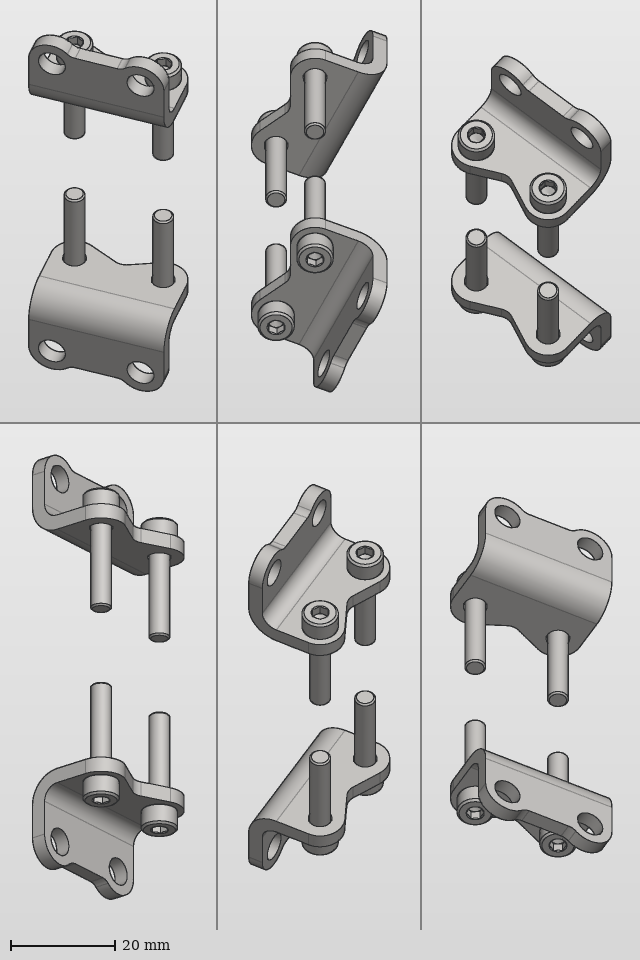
import cadquery as cq
import math

overall_height = 85.5
top_z = overall_height / 2

bracket_width = 27.5
level_length = 17.8
upright_length = 17.7
plate_thickness = 3.0
inner_bend_radius = 3.1
outer_bend_radius = inner_bend_radius + plate_thickness
bracket_base_z = top_z - upright_length

hole_spacing = 18.0
lobe_x = hole_spacing / 2
lobe_radius = (bracket_width - hole_spacing) / 2
level_lobe_offset = level_length - lobe_radius
upright_lobe_offset = upright_length - lobe_radius
mount_hole_diameter = 5.5
bolt_hole_diameter = 4.5

flat_notch_depth = 1.8
flat_notch_radius = 2.4

vee_slope = math.radians(25)
vee_radius = 3.0

shank_diameter = 4.0
shank_length = 20.0
tip_chamfer = 0.3
head_diameter = 7.0
head_height = 4.0
head_chamfer = 0.4
head_base_chamfer = 0.2
socket_width = 3.0
socket_depth = 2.0
socket_corner_diameter = socket_width / math.cos(math.radians(30))
socket_cone_depth = socket_width / 2 * math.tan(math.radians(30))
bolt_seat_z = bracket_base_z + plate_thickness


def polar(center, radius, angle):
    """Point on a circle, with the angle in radians from the first axis."""
    return (center[0] + radius * math.cos(angle), center[1] + radius * math.sin(angle))


def half_lobe_outline(plane, lobe_center, tangent_angle):
    """Right half of a leg outline, from the bend corner round the lobe to the given angle."""
    return (
        plane.moveTo(0, 0)
        .lineTo(bracket_width / 2, 0)
        .lineTo(bracket_width / 2, lobe_center[1])
        .threePointArc(
            polar(lobe_center, lobe_radius, tangent_angle / 2),
            polar(lobe_center, lobe_radius, tangent_angle),
        )
    )


def upright_outline():
    """Prism along Y with the outline of the upright leg: lobes blending into a flat notch."""
    lobe_center = (lobe_x, upright_lobe_offset)
    notch_floor = upright_length - flat_notch_depth
    radius_sum = lobe_radius + flat_notch_radius
    blend_angle = math.acos((notch_floor + flat_notch_radius - upright_lobe_offset) / radius_sum)
    tangent_angle = math.pi / 2 + blend_angle
    blend_center = polar(lobe_center, radius_sum, tangent_angle)
    blend_middle = polar(blend_center, flat_notch_radius, (blend_angle - math.pi) / 2)
    plane = cq.Workplane("XZ", origin=(0, 0, bracket_base_z))
    return (
        half_lobe_outline(plane, lobe_center, tangent_angle)
        .threePointArc(blend_middle, (blend_center[0], notch_floor))
        .lineTo(0, notch_floor)
        .mirrorY()
        .extrude(-level_length)
    )


def level_outline():
    """Prism along Z with the outline of the level leg: lobes with tangents meeting in a rounded V."""
    lobe_center = (lobe_x, level_lobe_offset)
    tangent_angle = math.pi / 2 + vee_slope
    tangent_start = polar(lobe_center, lobe_radius, tangent_angle)
    tangent_end_x = vee_radius * math.sin(vee_slope)
    tangent_end_y = tangent_start[1] - (tangent_start[0] - tangent_end_x) * math.tan(vee_slope)
    vee_center = (0, tangent_end_y + vee_radius * math.cos(vee_slope))
    plane = cq.Workplane("XY", origin=(0, 0, bracket_base_z))
    return (
        half_lobe_outline(plane, lobe_center, tangent_angle)
        .lineTo(tangent_end_x, tangent_end_y)
        .threePointArc(
            polar(vee_center, vee_radius, (vee_slope - math.pi) / 2),
            polar(vee_center, vee_radius, -math.pi / 2),
        )
        .mirrorY()
        .extrude(upright_length)
    )


def bent_plate():
    """Plate bent to a right angle, as wide as the bracket."""
    bend_line = outer_bend_radius
    bend_center = (bend_line, bend_line)
    bend_middle = math.radians(225)
    return (
        cq.Workplane("YZ", origin=(-bracket_width / 2, 0, bracket_base_z))
        .moveTo(level_length, 0)
        .lineTo(bend_line, 0)
        .threePointArc(polar(bend_center, outer_bend_radius, bend_middle), (0, bend_line))
        .lineTo(0, upright_length)
        .lineTo(plate_thickness, upright_length)
        .lineTo(plate_thickness, bend_line)
        .threePointArc(polar(bend_center, inner_bend_radius, bend_middle), (bend_line, plate_thickness))
        .lineTo(level_length, plate_thickness)
        .close()
        .extrude(bracket_width)
    )


def make_bracket():
    """Upper bracket, with mounting holes in the upright leg and bolt holes in the level leg."""
    mount_holes = (
        cq.Workplane("XZ", origin=(0, 0, bracket_base_z))
        .pushPoints([(-lobe_x, upright_lobe_offset), (lobe_x, upright_lobe_offset)])
        .circle(mount_hole_diameter / 2)
        .extrude(-plate_thickness)
    )
    bolt_holes = (
        cq.Workplane("XY", origin=(0, 0, bracket_base_z))
        .pushPoints([(-lobe_x, level_lobe_offset), (lobe_x, level_lobe_offset)])
        .circle(bolt_hole_diameter / 2)
        .extrude(plate_thickness)
    )
    plate = bent_plate().intersect(upright_outline()).intersect(level_outline())
    return plate.cut(mount_holes).cut(bolt_holes)


def downward_cone(diameter, depth, top_level):
    """Cone on the Z axis with its base at the given level and its tip below."""
    cone = cq.Solid.makeCone(
        diameter / 2, 0, depth, pnt=cq.Vector(0, 0, top_level), dir=cq.Vector(0, 0, -1)
    )
    return cq.Workplane(cone)


def make_bolt():
    """Bolt pointing down, with the underside of its head at the origin."""
    head = (
        cq.Workplane("XY")
        .circle(head_diameter / 2)
        .extrude(head_height)
        .faces(">Z")
        .chamfer(head_chamfer)
        .faces("<Z")
        .chamfer(head_base_chamfer)
    )
    shank = (
        cq.Workplane("XY")
        .circle(shank_diameter / 2)
        .extrude(-shank_length)
        .faces("<Z")
        .chamfer(tip_chamfer)
    )
    socket_floor_z = head_height - socket_depth
    socket = (
        cq.Workplane("XY", origin=(0, 0, socket_floor_z))
        .transformed(rotate=(0, 0, 90))
        .polygon(6, socket_corner_diameter)
        .extrude(socket_depth)
    )
    drill_cone = downward_cone(socket_width, socket_cone_depth, socket_floor_z)
    countersink = downward_cone(socket_corner_diameter, socket_corner_diameter / 2, head_height)
    return head.union(shank).cut(socket).cut(drill_cone).cut(countersink)


upper_bracket = make_bracket()
upper_bolts = [
    make_bolt().translate((bolt_x, level_lobe_offset, bolt_seat_z)) for bolt_x in (-lobe_x, lobe_x)
]

bodies = []
for upper_body in [upper_bracket, *upper_bolts]:
    lower_body = upper_body.mirror("XY")
    bodies += [upper_body.val(), lower_body.val()]

result = cq.Compound.makeCompound(bodies)